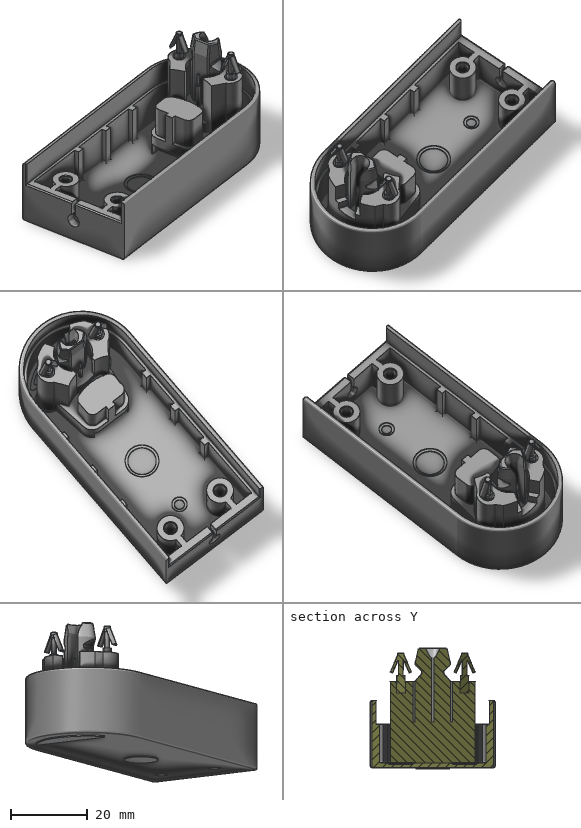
import cadquery as cq
import math

WIDTH = 32.6
LENGTH = 71.4
OUTER_R = WIDTH / 2
END_Y = OUTER_R - LENGTH
HOUSING_TOP = 17.6
LEDGE_Z = 11.4
FLOOR_Z = 1.4
LOWER_WALL = 2.0
UPPER_WALL = 1.2
END_WALL = 2.4
TOP_FILLET = 0.65
BOTTOM_FILLET = 0.6
INNER_FILLET = 0.3
LEDGE_CHAMFER = 0.35

RIB_YS = (-9.8, -21.6, -33.8)
RIB_WIDTH = 1.9
RIB_REACH = 1.3

SCREW_X = 8.3
SCREW_Y = -47.05
SCREW_BOSS_R = 3.5
SCREW_HOLE_R = 1.6
SCREW_CHAMFER = 0.2
SCREW_WEB = 1.7

CABLE_R = 1.8
CABLE_Z = 5.9
CABLE_SLOT = 1.15

PAD_HEIGHT = 0.3
DISH_DEPTH = 0.5
DISH_STEP = 0.7
SOCKET_STEP = 0.4
BIG_DISH_R = 4.4
BIG_DISH_Y = -25.0
SMALL_DISH_R = 2.0
SMALL_DISH_Y = -40.5
CRESCENT_R = 13.6
CRESCENT_END_Y = 7.7
CRESCENT_TIP_R = 0.6
CRESCENT_RIM = 0.25

HUB_Y = 3.5
POST_X = 8.3
POST_EDGE_X = 11.1
POST_TOP = 22.55
SOCKET_R = 3.45
PLATFORM_Z = 12.0
GAP_R = 5.1
GAP_HALF = 2.94
REAR_SHELF_Z = 17.0
REAR_CENTRE_Z = 14.5
PLATE_TOP = 7.3
PLATE_FRONT_Y = -12.6
PLATE_FILLET = 3.4
UNDERCUT_TOP = 4.5
UNDERCUT_HALF = 5.6
UNDERCUT_DEPTH = 3.0
OVAL_TOP = 15.6
OVAL_HALF = 6.0
OVAL_REAR_Y = -3.8
OVAL_SHOULDER_Y = -5.2
OVAL_FRONT_Y = -11.5
OVAL_FILLET = 2.0
TONGUE_WIDTH = 2.3
BAR_X = (0.2, 5.0)
BAR_Y = (-3.1, -1.7)
BAR_TOP = 10.0

COLUMN_HALF = 4.63
COLUMN_FRONT_HALF = 2.1
COLUMN_FRONT_Y = 1.5
COLUMN_BEVEL_HALF = 2.75
COLUMN_BEVEL_Y = 1.75
COLUMN_FLANK_X = 3.6
COLUMN_FLANK_Y = 5.8
COLUMN_REAR_Y = 7.2
COLUMN_SHOULDER_Z = 27.2
COLUMN_TOP = 31.2
COLUMN_TAPER = 8.5
COLUMN_TOP_CHAMFER = 0.3
COLUMN_SLOT_R = 1.6
COLUMN_SLOT_FLARE = 0.8
COLUMN_FLARE_DEPTH = 2.5
NOTCH_HALF = 2.9
NOTCH_Z = (22.6, 24.5, 25.2, 26.9)

COLLAR_R = 1.1
COLLAR_TOP = 24.0
COUNTERSINK_R = 1.65
BARB_DEPTH = 3.0
STEM_R = 0.65
BARB_TOP = 29.9
BARB_TIP_Z = 25.0
BARB_TIP_X = 2.8
BARB_HEAD_HALF = 0.85
BARB_HEAD_Z = 29.4
ARM_R = 0.95
ARM_THICKNESS = 0.7

PIN_YS = (0.47, 6.15)
PIN_R = 0.55
PIN_STEP_Z = 18.3
PIN_TIP_R = 0.3
PIN_TOP = 21.9
PIN_TIP_CHAMFER = 0.2


def block(x_range, y_range, z_range):
    size = [end - start for start, end in (x_range, y_range, z_range)]
    corner = (x_range[0], y_range[0], z_range[0])
    return cq.Workplane("XY").box(*size, centered=False).translate(corner)


def cylinder(radius, x, y, bottom, top):
    return cq.Workplane("XY", origin=(x, y, bottom)).circle(radius).extrude(top - bottom)


def arch(radius, end_y, bottom, top):
    """Upright body with straight sides, a flat -Y end and a round +Y end."""
    return (
        cq.Workplane("XY", origin=(0, 0, bottom))
        .moveTo(-radius, end_y)
        .lineTo(-radius, 0)
        .threePointArc((0, radius), (radius, 0))
        .lineTo(radius, end_y)
        .close()
        .extrude(top - bottom)
    )


def dish(radius, x, y, step=DISH_STEP):
    """Cutter for a round recess in the floor with a step around its edge."""
    rim = cylinder(radius, x, y, FLOOR_Z - DISH_DEPTH / 2, FLOOR_Z)
    return rim.union(cylinder(radius - step, x, y, FLOOR_Z - DISH_DEPTH, FLOOR_Z))


def crescent(radius, end_y, bottom, top):
    """Round segment cut off by a line along X, with rounded tips."""
    half = math.sqrt(radius**2 - end_y**2)
    segment = (
        cq.Workplane("XY", origin=(0, 0, bottom))
        .moveTo(-half, end_y)
        .threePointArc((0, radius), (half, end_y))
        .close()
        .extrude(top - bottom)
    )
    return segment.edges("|Z").fillet(CRESCENT_TIP_R)


def make_shell():
    shell = arch(OUTER_R, END_Y, 0, HOUSING_TOP)
    shell = shell.faces(">Z").edges("not <Y").fillet(TOP_FILLET)
    shell = shell.faces("<Z").edges("not <Y").fillet(BOTTOM_FILLET)
    cavity_r = OUTER_R - LOWER_WALL
    cavity = arch(cavity_r, END_Y + END_WALL, FLOOR_Z, HOUSING_TOP)
    return shell.cut(cavity)


def add_ribs(shell):
    wall_x = OUTER_R - LOWER_WALL
    for side in (-1, 1):
        for y in RIB_YS:
            x_range = sorted((side * (wall_x - RIB_REACH), side * (wall_x + LOWER_WALL / 2)))
            y_range = (y - RIB_WIDTH / 2, y + RIB_WIDTH / 2)
            shell = shell.union(block(x_range, y_range, (FLOOR_Z, LEDGE_Z)))
    return shell


def add_screw_bosses(shell):
    for x in (-SCREW_X, SCREW_X):
        web_x = (x - SCREW_WEB / 2, x + SCREW_WEB / 2)
        shell = shell.union(cylinder(SCREW_BOSS_R, x, SCREW_Y, FLOOR_Z, LEDGE_Z))
        shell = shell.union(block(web_x, (END_Y + END_WALL / 2, SCREW_Y), (FLOOR_Z, LEDGE_Z)))
    return shell


def fillet_floor(shell):
    """Round the corner where the walls, ribs and bosses meet the floor."""
    rim = cq.selectors.BoxSelector(
        (-OUTER_R, END_Y, FLOOR_Z - 0.1), (OUTER_R, OUTER_R, FLOOR_Z + 0.1), boundingbox=True
    )
    return shell.edges(rim).fillet(INNER_FILLET)


def drill_screw_holes(shell):
    for x in (-SCREW_X, SCREW_X):
        shell = shell.cut(cylinder(SCREW_HOLE_R, x, SCREW_Y, 0, LEDGE_Z))
        mouth = (
            cq.Workplane("XY", origin=(x, SCREW_Y, LEDGE_Z))
            .circle(SCREW_HOLE_R + SCREW_CHAMFER)
            .workplane(offset=-SCREW_CHAMFER)
            .circle(SCREW_HOLE_R)
            .loft()
        )
        shell = shell.cut(mouth)
    return shell


def open_top(shell):
    """Thin the wall above the ledge and open the -Y end there."""
    inner_r = OUTER_R - UPPER_WALL
    shell = shell.cut(arch(inner_r, END_Y, LEDGE_Z, HOUSING_TOP))
    mouth_half = inner_r + LEDGE_CHAMFER
    mouth_bottom = LEDGE_Z - LEDGE_CHAMFER
    edge_break = (
        cq.Workplane("XZ", origin=(0, END_Y, 0))
        .moveTo(-mouth_half, mouth_bottom)
        .lineTo(mouth_half, mouth_bottom)
        .lineTo(mouth_half, 2 * HOUSING_TOP)
        .lineTo(-mouth_half, 2 * HOUSING_TOP)
        .close()
        .extrude(-LEDGE_CHAMFER, taper=45)
    )
    return shell.cut(edge_break)


def cut_cable_entry(shell):
    hole = cq.Workplane("XZ", origin=(0, END_Y, CABLE_Z)).circle(CABLE_R).extrude(-END_WALL)
    slot_x = (-CABLE_SLOT / 2, CABLE_SLOT / 2)
    slot = block(slot_x, (END_Y, END_Y + END_WALL), (CABLE_Z, LEDGE_Z))
    return shell.cut(hole).cut(slot)


def add_floor_dishes(shell):
    shell = shell.union(cylinder(BIG_DISH_R, 0, BIG_DISH_Y, -PAD_HEIGHT, FLOOR_Z / 2))
    shell = shell.union(crescent(CRESCENT_R, CRESCENT_END_Y, -PAD_HEIGHT, FLOOR_Z / 2))
    shell = shell.cut(dish(BIG_DISH_R, 0, BIG_DISH_Y))
    shell = shell.cut(dish(SMALL_DISH_R, 0, SMALL_DISH_Y))
    for inset, depth in ((CRESCENT_RIM, DISH_DEPTH / 2), (CRESCENT_RIM + DISH_STEP, DISH_DEPTH)):
        recess = crescent(CRESCENT_R - inset, CRESCENT_END_Y + inset, FLOOR_Z - depth, FLOOR_Z)
        shell = shell.cut(recess)
    for x in (-POST_X, POST_X):
        shell = shell.cut(dish(SOCKET_R, x, HUB_Y, SOCKET_STEP))
    return shell


def make_housing():
    shell = make_shell()
    shell = add_ribs(shell)
    shell = add_screw_bosses(shell)
    shell = fillet_floor(shell)
    shell = open_top(shell)
    shell = drill_screw_holes(shell)
    shell = cut_cable_entry(shell)
    return add_floor_dishes(shell)


def post_block():
    """Both posts and the web between them, as one block up to the post tops."""
    half = (
        cq.Workplane("XY", origin=(0, 0, FLOOR_Z))
        .moveTo(0, 10.9)
        .threePointArc((-4.4, 10.2), (-7.85, 8.6))
        .lineTo(-9.1, 6.75)
        .threePointArc((-POST_EDGE_X, HUB_Y), (-9.0, 0.3))
        .lineTo(-6.69, -2.96)
        .threePointArc((-4.9, -2.1), (-GAP_HALF, -1.6))
        .threePointArc((-1.5, -1.9), (0, -2.0))
        .close()
        .extrude(POST_TOP - FLOOR_Z)
    )
    return half.union(half.mirror("YZ"))


def wedge(front_half, rear_half, bottom):
    """Cutter behind the column that widens towards +Y."""
    return (
        cq.Workplane("XY", origin=(0, 0, bottom))
        .moveTo(-front_half, 7.6)
        .lineTo(front_half, 7.6)
        .lineTo(rear_half, 12)
        .lineTo(-rear_half, 12)
        .close()
        .extrude(POST_TOP - bottom)
    )


def part_posts(posts):
    """Open the space for the column between the two posts."""
    posts = posts.cut(cylinder(GAP_R, 0, HUB_Y, PLATFORM_Z, POST_TOP))
    posts = posts.cut(block((-GAP_HALF, GAP_HALF), (-4, HUB_Y), (PLATFORM_Z, POST_TOP)))
    posts = posts.cut(wedge(2.6, 5.2, REAR_SHELF_Z))
    return posts.cut(wedge(1.15, 3.6, REAR_CENTRE_Z))


def plate():
    base = (
        cq.Workplane("XY", origin=(0, 0, FLOOR_Z))
        .moveTo(-8.5, -0.4)
        .lineTo(-6.9, PLATE_FRONT_Y)
        .lineTo(6.9, PLATE_FRONT_Y)
        .lineTo(8.5, -0.4)
        .close()
        .extrude(PLATE_TOP - FLOOR_Z)
        .edges("|Z and <Y")
        .fillet(PLATE_FILLET)
    )
    undercut = block(
        (-UNDERCUT_HALF, UNDERCUT_HALF),
        (PLATE_FRONT_Y, PLATE_FRONT_Y + UNDERCUT_DEPTH),
        (FLOOR_Z, UNDERCUT_TOP),
    )
    return base.cut(undercut)


def oval_boss():
    boss = (
        cq.Workplane("XY", origin=(0, 0, PLATE_TOP))
        .moveTo(-OVAL_HALF, OVAL_FRONT_Y)
        .lineTo(-OVAL_HALF, OVAL_SHOULDER_Y)
        .threePointArc((0, OVAL_REAR_Y), (OVAL_HALF, OVAL_SHOULDER_Y))
        .lineTo(OVAL_HALF, OVAL_FRONT_Y)
        .close()
        .extrude(OVAL_TOP - PLATE_TOP)
        .edges("|Z")
        .fillet(OVAL_FILLET)
    )
    tongue_x = (-TONGUE_WIDTH / 2, TONGUE_WIDTH / 2)
    tongue = block(tongue_x, (PLATE_FRONT_Y, OVAL_FRONT_Y + 1), (PLATE_TOP, OVAL_TOP))
    return boss.union(tongue)


def column_outline(z):
    """Outline with a flat front, bevelled front corners and rounded rear flanks."""
    return (
        cq.Workplane("XY", origin=(0, 0, z))
        .moveTo(-COLUMN_FRONT_HALF, COLUMN_FRONT_Y)
        .lineTo(COLUMN_FRONT_HALF, COLUMN_FRONT_Y)
        .lineTo(COLUMN_BEVEL_HALF, COLUMN_BEVEL_Y)
        .lineTo(COLUMN_HALF, HUB_Y)
        .threePointArc((COLUMN_FLANK_X, COLUMN_FLANK_Y), (COLUMN_SLOT_R, COLUMN_REAR_Y))
        .lineTo(-COLUMN_SLOT_R, COLUMN_REAR_Y)
        .threePointArc((-COLUMN_FLANK_X, COLUMN_FLANK_Y), (-COLUMN_HALF, HUB_Y))
        .lineTo(-COLUMN_BEVEL_HALF, COLUMN_BEVEL_Y)
        .close()
    )


def slot_outline(half_width, z):
    """U-shaped outline, round towards -Y and open past the rear of the column."""
    centre_y = HUB_Y + COLUMN_SLOT_R
    rear_y = COLUMN_REAR_Y + 2 * COLUMN_SLOT_FLARE
    return (
        cq.Workplane("XY", origin=(0, 0, z))
        .moveTo(half_width, rear_y)
        .lineTo(half_width, centre_y)
        .threePointArc((0, centre_y - half_width), (-half_width, centre_y))
        .lineTo(-half_width, rear_y)
        .close()
    )


def column():
    """Hollow latch column with a U-shaped slot open to the rear and a V notch on each side."""
    shoulder_height = COLUMN_SHOULDER_Z - PLATFORM_Z
    tapered_height = COLUMN_TOP - COLUMN_TOP_CHAMFER - COLUMN_SHOULDER_Z
    lower = column_outline(PLATFORM_Z).extrude(shoulder_height)
    upper = column_outline(COLUMN_SHOULDER_Z).extrude(tapered_height, taper=COLUMN_TAPER)
    cap = upper.faces(">Z").wires().toPending().extrude(COLUMN_TOP_CHAMFER, taper=45, combine=False)
    body = lower.union(upper).union(cap)
    slot = slot_outline(COLUMN_SLOT_R, COLUMN_TOP).extrude(PLATFORM_Z - COLUMN_TOP)
    flare_taper = math.degrees(math.atan2(COLUMN_SLOT_FLARE, COLUMN_FLARE_DEPTH))
    flare = slot_outline(COLUMN_SLOT_R + COLUMN_SLOT_FLARE, COLUMN_TOP)
    slot = slot.union(flare.extrude(-COLUMN_FLARE_DEPTH, taper=flare_taper))
    body = body.cut(slot)
    for side in (-1, 1):
        notch = (
            cq.Workplane("XZ", origin=(0, COLUMN_REAR_Y, 0))
            .moveTo(side * COLUMN_HALF, NOTCH_Z[0])
            .lineTo(side * NOTCH_HALF, NOTCH_Z[1])
            .lineTo(side * NOTCH_HALF, NOTCH_Z[2])
            .lineTo(side * COLUMN_HALF, NOTCH_Z[3])
            .close()
            .extrude(COLUMN_REAR_Y - COLUMN_FRONT_Y)
        )
        body = body.cut(notch)
    return body


def barb_pocket(x):
    """Cutter for a barb shank, with a countersunk mouth."""
    hole = cylinder(COLLAR_R, x, HUB_Y, POST_TOP - BARB_DEPTH, POST_TOP)
    mouth = (
        cq.Workplane("XY", origin=(x, HUB_Y, POST_TOP))
        .circle(COUNTERSINK_R)
        .workplane(offset=COLLAR_R - COUNTERSINK_R)
        .circle(COLLAR_R)
        .loft()
    )
    return hole.union(mouth)


def make_insert():
    body = part_posts(post_block())
    body = body.union(plate()).union(oval_boss()).union(column())
    body = body.union(block(BAR_X, BAR_Y, (PLATE_TOP, BAR_TOP)))
    for x in (-POST_X, POST_X):
        body = body.cut(barb_pocket(x))
    return body


def barb_arm(side):
    """Rounded strip that leans outwards and down from the head."""
    top_x = BARB_HEAD_HALF
    run = BARB_TIP_X - top_x
    drop = BARB_HEAD_Z - BARB_TIP_Z
    length = math.hypot(run, drop)
    strip = (
        cq.Workplane("XY")
        .circle(ARM_R)
        .extrude(length)
        .intersect(block((ARM_R - ARM_THICKNESS, ARM_R), (-ARM_R, ARM_R), (0, length)))
        .translate((-ARM_R, 0, -length))
    )
    lean = math.degrees(math.atan2(run, drop))
    strip = strip.rotate((0, 0, 0), (0, 1, 0), -lean).translate((top_x, 0, BARB_HEAD_Z))
    return strip if side > 0 else strip.mirror("YZ")


def make_barb(x):
    barb = cylinder(COLLAR_R, 0, 0, POST_TOP - BARB_DEPTH, COLLAR_TOP)
    barb = barb.union(cylinder(STEM_R, 0, 0, COLLAR_TOP, BARB_HEAD_Z))
    head = cylinder(BARB_HEAD_HALF, 0, 0, BARB_HEAD_Z - 1, BARB_TOP).faces(">Z").chamfer(0.15)
    barb = barb.union(head)
    for side in (-1, 1):
        barb = barb.union(barb_arm(side))
    return barb.translate((x, HUB_Y, 0))


def make_pin(y):
    pin = cylinder(PIN_R, 0, y, PLATFORM_Z, PIN_STEP_Z)
    tip = cylinder(PIN_TIP_R, 0, y, PIN_STEP_Z, PIN_TOP).faces(">Z").chamfer(PIN_TIP_CHAMFER)
    return pin.union(tip)


housing = make_housing()
insert = make_insert()
barbs = [make_barb(x) for x in (-POST_X, POST_X)]
pins = [make_pin(y) for y in PIN_YS]

result = cq.Compound.makeCompound(
    [housing.val(), insert.val()] + [barb.val() for barb in barbs] + [pin.val() for pin in pins]
)